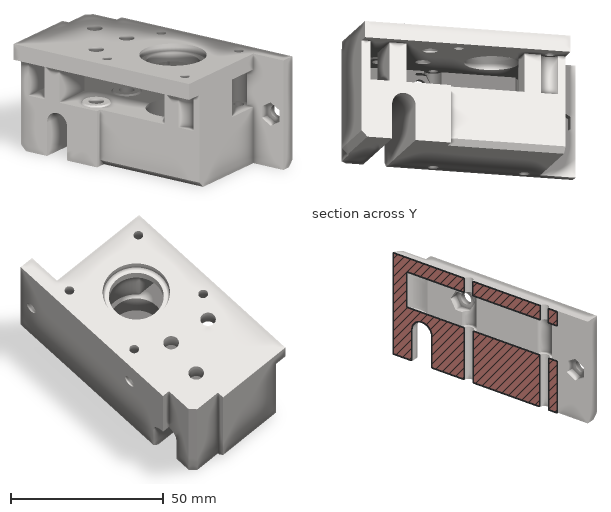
import cadquery as cq
import math

LENGTH = 82.0
WIDTH = 42.0
HEIGHT = 38.0

PLATE_THICKNESS = 5.5
PLATE_LENGTH = 70.0
ARM_FACE_Y = 36.9
BODY_FRONT_Y = 4.15
RECESS_FRONT_Y = 6.1
RECESS_START_X = 30.4
NOTCH_X = 2.5
NOTCH_Y = 28.0
REAR_STEP_X = 13.9
REAR_STEP_Y = 39.3
CHAMFER = 2.0
PLATE_UNDERSIDE = HEIGHT - PLATE_THICKNESS

CAVITY_HEIGHT = 13.0
CAVITY_FLOOR = PLATE_UNDERSIDE - CAVITY_HEIGHT
CAVITY_LEFT_X = 15.3
CAVITY_RIGHT_X = 55.95
PULLEY_ROUND_CENTER = (12.7, 27.9)
PULLEY_ROUND_RADIUS = 9.7
ENTRY_LEFT_X = PULLEY_ROUND_CENTER[0] - PULLEY_ROUND_RADIUS
ENTRY_RIGHT_X = 9.45
GEAR_CLEARANCE_RADIUS = 10.5
OUTLET_FRONT_Y = 24.5

MOTOR_X = 49.0
MOTOR_Y = 21.0
MOTOR_BOLT_SPACING = 31.0
MOTOR_BOLT_DIAMETER = 3.2
FLOOR_BOLT_DIAMETER = 3.5
BOLT_HEAD_DIAMETER = 6.0
PILOT_DIAMETER = 22.1
PILOT_DEPTH = 2.5
BORE_DIAMETER = 18.0
FLOOR_BORE_DEPTH = 7.5

PIN_DIAMETER = 5.1
PIN_FLOOR_DEPTH = 3.5
LEFT_PULLEY = (12.9, 28.0)
FLOOR_PULLEYS = [(27.0, 26.0), (25.3, 11.0)]
BOSS_TIP_DIAMETER = 9.0
BOSS_BASE_DIAMETER = 10.0
BOSS_HEIGHT = 0.5

SLOT_X = 14.4
SLOT_WIDTH = 8.0
SLOT_TOP = 15.7

SCREW_DIAMETER = 4.2
NUT_ACROSS_FLATS = 7.0
NUT_POCKET_DEPTH = 3.0
UPPER_SCREW = (29.9, 28.2)
ARM_SCREW = (76.9, 18.4)
ARM_NUT_TURN = 30.0


def box(x0, x1, y0, y1, z0, z1):
    """Box between two limits on each axis."""
    return cq.Workplane("XY").box(x1 - x0, y1 - y0, z1 - z0, centered=False).translate((x0, y0, z0))


def cylinder(x, y, diameter, z0, z1):
    """Upright cylinder between two heights."""
    return cq.Workplane("XY", origin=(x, y, z0)).circle(diameter / 2).extrude(z1 - z0)


def cylinder_along_y(x, z, diameter, y0, y1):
    """Cylinder parallel to Y."""
    return cq.Workplane("XZ", origin=(x, y0, z)).circle(diameter / 2).extrude(y0 - y1)


def outline(left_front_y, right_front_y):
    """Closed plan outline whose front edge steps at RECESS_START_X when the two depths differ."""
    points = [(0, left_front_y), (RECESS_START_X, left_front_y)]
    if right_front_y != left_front_y:
        points.append((RECESS_START_X, right_front_y))
    points += [
        (PLATE_LENGTH, right_front_y),
        (PLATE_LENGTH, ARM_FACE_Y),
        (LENGTH, ARM_FACE_Y),
        (LENGTH, WIDTH),
        (REAR_STEP_X, WIDTH),
        (REAR_STEP_X, REAR_STEP_Y),
        (NOTCH_X + CHAMFER, REAR_STEP_Y),
        (NOTCH_X, REAR_STEP_Y - CHAMFER),
        (NOTCH_X, NOTCH_Y),
        (0, NOTCH_Y),
    ]
    return cq.Workplane("XY").polyline(points).close()


def edge_chamfers():
    """Material removed along the bottom left, front and rear edges."""
    corner = [(0, 0), (CHAMFER, 0), (0, CHAMFER)]
    left = cq.Workplane("XZ").polyline(corner).close().extrude(-NOTCH_Y)
    along_x = cq.Workplane("YZ").polyline(corner).close().extrude(PLATE_LENGTH - RECESS_START_X)
    front = along_x.translate((RECESS_START_X, RECESS_FRONT_Y, 0))
    rear_corner = [(WIDTH, 0), (WIDTH - CHAMFER, 0), (WIDTH, CHAMFER)]
    rear = cq.Workplane("YZ", origin=(REAR_STEP_X, 0, 0)).polyline(rear_corner).close()
    return left.union(front).union(rear.extrude(LENGTH - REAR_STEP_X))


def belt_cavity():
    """Cavity for the belt: front opening, left entry, pulley rounds and right outlet."""
    levels = (CAVITY_FLOOR, PLATE_UNDERSIDE)
    cavity = cylinder(*PULLEY_ROUND_CENTER, 2 * PULLEY_ROUND_RADIUS, *levels)
    cavity = cavity.union(box(ENTRY_LEFT_X, ENTRY_RIGHT_X, 0, PULLEY_ROUND_CENTER[1], *levels))
    cavity = cavity.union(box(CAVITY_LEFT_X, CAVITY_RIGHT_X, 0, ARM_FACE_Y, *levels))
    cavity = cavity.union(cylinder(MOTOR_X, MOTOR_Y, 2 * GEAR_CLEARANCE_RADIUS, *levels))
    return cavity.union(box(MOTOR_X, PLATE_LENGTH, OUTLET_FRONT_Y, ARM_FACE_Y, *levels))


def boss(x, y, base_z, direction):
    """Conical spacer boss that narrows away from its base; direction is +1 up or -1 down."""
    base = cq.Workplane("XY", origin=(x, y, base_z)).circle(BOSS_BASE_DIAMETER / 2)
    tip = base.workplane(offset=direction * BOSS_HEIGHT).circle(BOSS_TIP_DIAMETER / 2)
    return tip.loft(ruled=True)


def motor_mount():
    """Pilot recess, shaft bore and four bolt holes with head clearance in the cavity."""
    cuts = cylinder(MOTOR_X, MOTOR_Y, PILOT_DIAMETER, HEIGHT - PILOT_DEPTH, HEIGHT)
    cuts = cuts.union(cylinder(MOTOR_X, MOTOR_Y, BORE_DIAMETER, CAVITY_FLOOR - FLOOR_BORE_DEPTH, HEIGHT))
    half = MOTOR_BOLT_SPACING / 2
    rear_y = MOTOR_Y + half
    for x in (MOTOR_X - half, MOTOR_X + half):
        cuts = cuts.union(cylinder(x, rear_y, FLOOR_BOLT_DIAMETER, 0, CAVITY_FLOOR))
        for y in (MOTOR_Y - half, rear_y):
            cuts = cuts.union(cylinder(x, y, MOTOR_BOLT_DIAMETER, CAVITY_FLOOR, HEIGHT))
            cuts = cuts.union(cylinder(x, y, BOLT_HEAD_DIAMETER, CAVITY_FLOOR, PLATE_UNDERSIDE))
    return cuts


def arched_slot():
    """Round-topped slot through the whole width."""
    radius = SLOT_WIDTH / 2
    center_z = SLOT_TOP - radius
    straight = box(SLOT_X - radius, SLOT_X + radius, 0, WIDTH, 0, center_z)
    return straight.union(cylinder_along_y(SLOT_X, center_z, SLOT_WIDTH, 0, WIDTH))


def nut_screw(x, z, turn):
    """Screw hole through the rear wall with a nut pocket, turned about its axis by some degrees."""
    across_corners = NUT_ACROSS_FLATS / math.cos(math.pi / 6)
    nut = cq.Workplane("XZ").polygon(6, across_corners).extrude(-NUT_POCKET_DEPTH)
    nut = nut.rotate((0, 0, 0), (0, 1, 0), turn).translate((x, ARM_FACE_Y, z))
    return nut.union(cylinder_along_y(x, z, SCREW_DIAMETER, ARM_FACE_Y, WIDTH))


body = outline(BODY_FRONT_Y, RECESS_FRONT_Y).extrude(HEIGHT)
body = body.cut(edge_chamfers()).cut(belt_cavity())
plate = outline(0, 0).extrude(PLATE_THICKNESS).translate((0, 0, PLATE_UNDERSIDE))
result = body.union(plate)

result = result.union(boss(*LEFT_PULLEY, PLATE_UNDERSIDE, -1))
for pulley in FLOOR_PULLEYS:
    result = result.union(boss(*pulley, CAVITY_FLOOR, 1))

result = result.cut(motor_mount()).cut(arched_slot())
result = result.cut(cylinder(*LEFT_PULLEY, PIN_DIAMETER, CAVITY_FLOOR, HEIGHT))
for pulley in FLOOR_PULLEYS:
    result = result.cut(cylinder(*pulley, PIN_DIAMETER, CAVITY_FLOOR - PIN_FLOOR_DEPTH, HEIGHT))

result = result.cut(nut_screw(*UPPER_SCREW, 0)).cut(nut_screw(*ARM_SCREW, ARM_NUT_TURN))